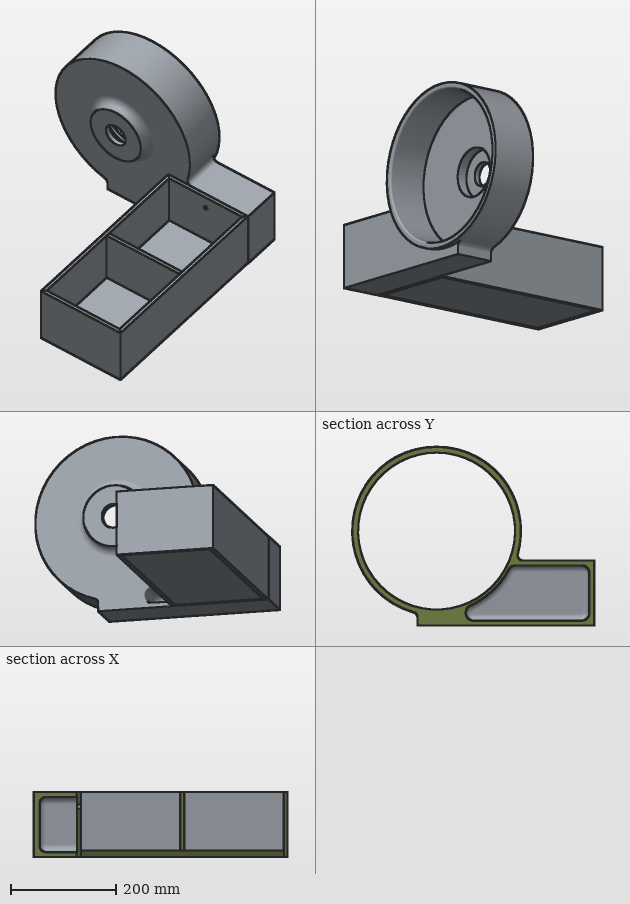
import cadquery as cq
import math


drum_radius = 161.0
drum_depth = 93.5
drum_axis_z = 180.0
shell = 12.0
cavity_radius = drum_radius - shell
cavity_rim_fillet = 4.0

hub_radius = 60.0
hub_height = 22.0
hub_flare = 15.5
hub_cavity_radius = hub_radius - shell
inlet_radius = 23.5

outlet_left = -36.5
outlet_right = 300.5
outlet_depth = 82.5
outlet_height = 124.0
neck_fillet = 10.0

duct_arc_radius = 156.0
duct_left = 56.0
duct_wall = 10.0
duct_corner = 14.0
duct_floor_fillet = 12.0
duct_mouth_fillet = 2.0

box_left = 109.5
box_width = 190.0
overall_length = 495
box_length = overall_length - drum_depth
box_height = outlet_height
board = 8.0
floor_thickness = 13.0
box_right = box_left + box_width

hole_radius = 3.5
hole_x = box_left + box_width / 2
hole_z = 96.5


def y_cylinder(radius, y_start, y_end):
    """Cylinder on the drum axis between two Y positions."""
    start = cq.Vector(0, y_start, drum_axis_z)
    return cq.Workplane(cq.Solid.makeCylinder(radius, y_end - y_start, start, cq.Vector(0, 1, 0)))


def block(x_range, y_range, z_range):
    """Axis-aligned block given by its limits along X, Y and Z."""
    sizes = [high - low for low, high in (x_range, y_range, z_range)]
    corner = (x_range[0], y_range[0], z_range[0])
    return cq.Workplane().box(*sizes, centered=False).translate(corner)


def make_drum_and_outlet():
    """Solid drum joined to the outlet block, with both inner corners rounded."""
    front_part = y_cylinder(drum_radius, 0, outlet_depth).union(
        block((outlet_left, outlet_right), (0, outlet_depth), (0, outlet_height))
    )
    right_neck_x = math.sqrt(drum_radius**2 - (drum_axis_z - outlet_height) ** 2)
    left_neck_z = drum_axis_z - math.sqrt(drum_radius**2 - outlet_left**2)
    neck_points = [
        (right_neck_x, outlet_depth / 2, outlet_height),
        (outlet_left, outlet_depth / 2, left_neck_z),
    ]
    for point in neck_points:
        front_part = front_part.edges(cq.selectors.NearestToPointSelector(point)).fillet(neck_fillet)
    return front_part.union(y_cylinder(drum_radius, outlet_depth, drum_depth))


def make_hub():
    """Inlet hub that flares out where it meets the drum."""
    profile = (
        cq.Workplane("XY")
        .lineTo(hub_radius + hub_flare, 0)
        .radiusArc((hub_radius, -hub_flare), -hub_flare)
        .lineTo(hub_radius, -hub_height)
        .lineTo(0, -hub_height)
        .close()
    )
    return profile.revolve(360, (0, 0, 0), (0, 1, 0)).translate((0, 0, drum_axis_z))


def make_duct():
    """Pocket inside the outlet block, following the drum on one side."""
    duct_depth = outlet_depth - shell
    duct = block(
        (duct_left, outlet_right - duct_wall),
        (0, duct_depth),
        (duct_wall, outlet_height - duct_wall),
    ).cut(y_cylinder(duct_arc_radius, 0, duct_depth))
    duct = duct.edges("|Y").fillet(duct_corner)
    return duct.faces(">Y").edges().fillet(duct_floor_fillet)


def make_housing():
    """Hollow drum, open at the back, with the inlet hub and the outlet block."""
    cavity = y_cylinder(cavity_radius, shell, drum_depth)
    hub_cavity = y_cylinder(hub_cavity_radius, shell - hub_height, shell)
    inlet = y_cylinder(inlet_radius, -hub_height, shell)
    housing = make_drum_and_outlet().union(make_hub())
    housing = housing.cut(cavity).cut(hub_cavity).cut(inlet).cut(make_duct())
    mouth_point = (outlet_right - duct_wall, 0, outlet_height / 2)
    housing = housing.edges(cq.selectors.NearestToPointSelector(mouth_point)).fillet(duct_mouth_fillet)
    cavity_rim = housing.faces(">Y").edges(cq.selectors.RadiusNthSelector(0))
    return cavity_rim.fillet(cavity_rim_fillet)


def make_wall(length):
    """Upright board along +X from the origin with its outer face at Y = 0 and both ends mitred."""
    outline = [(0, 0), (length, 0), (length - board, board), (board, board)]
    return cq.Workplane("XY").polyline(outline).close().extrude(box_height)


def make_end_walls():
    """Front and back boards; the back one has the small hole."""
    front = make_wall(box_width).translate((box_left, -box_length, 0))
    back = make_wall(box_width).rotate((0, 0, 0), (0, 0, 1), 180).translate((box_right, 0, 0))
    hole = cq.Workplane("XZ", origin=(hole_x, 0, hole_z)).circle(hole_radius).extrude(board)
    return [front, back.cut(hole)]


def make_side_walls():
    """Left and right boards."""
    wall = make_wall(box_length)
    right = wall.rotate((0, 0, 0), (0, 0, 1), 90).translate((box_right, -box_length, 0))
    left = wall.rotate((0, 0, 0), (0, 0, 1), -90).translate((box_left, 0, 0))
    return [right, left]


def make_floor():
    """Floor board set between the four walls."""
    return block(
        (box_left + board, box_right - board),
        (board - box_length, -board),
        (0, floor_thickness),
    )


def make_divider():
    """Cross board that stands on the floor and halves the box."""
    middle_y = -box_length / 2
    return block(
        (box_left + board, box_right - board),
        (middle_y - board / 2, middle_y + board / 2),
        (floor_thickness, box_height),
    )


housing = make_housing()
walls = make_end_walls() + make_side_walls()
box_floor = make_floor()
divider = make_divider()

result = cq.Compound.makeCompound(
    [housing.val(), *[wall.val() for wall in walls], box_floor.val(), divider.val()]
)